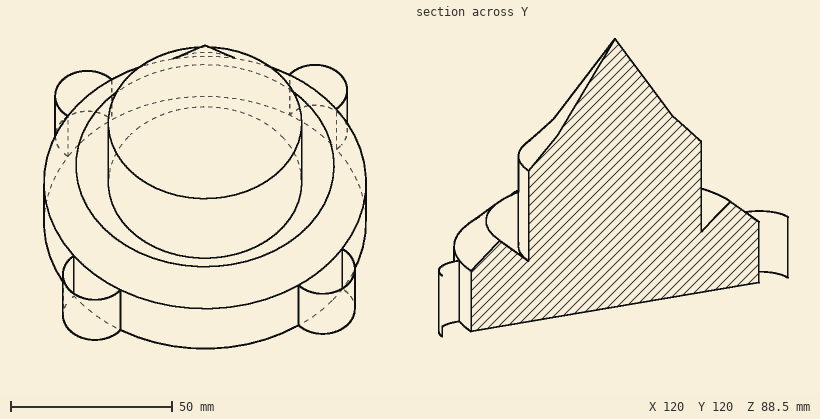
import cadquery as cq

base_diameter = 100.0
base_height = 20.0
rim_height = 8.4
rim_crest_diameter = 80.0
groove_depth = 8.4

post_diameter = 60.0
post_top = 49.8
nose_diameter = 40.0
nose_base = 59.9
total_height = 88.5

overall_width = 120.0
sleeve_diameter = overall_width - base_diameter
sleeve_wall = 0.1
sleeve_count = 4

base_radius = base_diameter / 2
post_radius = post_diameter / 2
rim_top = base_height + rim_height


def make_body():
    """Revolve the base, grooved rim and pointed post as one profile."""
    return (
        cq.Workplane("XZ")
        .lineTo(base_radius, 0)
        .lineTo(base_radius, base_height)
        .lineTo(rim_crest_diameter / 2, rim_top)
        .lineTo(post_radius, rim_top - groove_depth)
        .lineTo(post_radius, post_top)
        .lineTo(nose_diameter / 2, nose_base)
        .lineTo(0, total_height)
        .close()
        .revolve(360, (0, 0), (0, 1))
    )


def make_sleeves():
    """Stand open tubes on the base edge, centred on its circumference."""
    return (
        cq.Workplane("XY")
        .polarArray(base_radius, 0, 360, sleeve_count)
        .circle(sleeve_diameter / 2)
        .circle(sleeve_diameter / 2 - sleeve_wall)
        .extrude(base_height)
    )


result = make_body().union(make_sleeves())